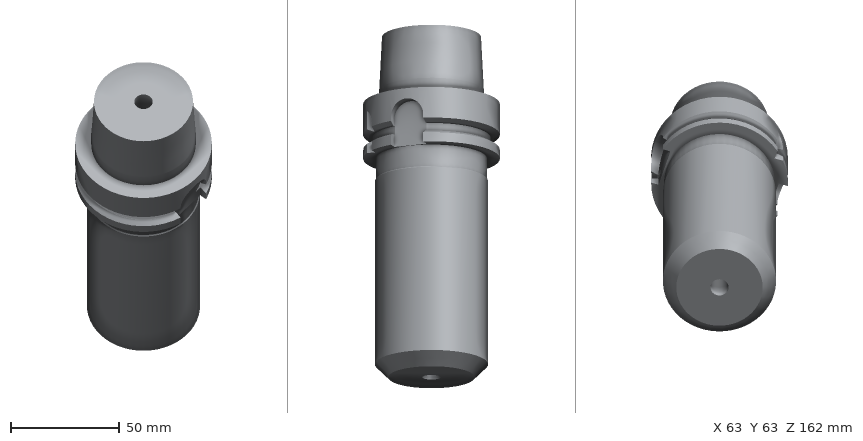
import cadquery as cq

total_height = 162
flange_diameter = 63.0

shank_top_radius = 22.8
shank_base_radius = 24.1
taper_bottom_z = 136.4

flange_radius = flange_diameter / 2
flange_top_z = 130.1
flange_bottom_z = 104.2
groove_radius = 27.2
groove_top_z = 114.0
groove_bottom_z = 110.0
groove_bevel_height = 1.5
groove_bevel_width = 2.6
groove_shelf_radius = flange_radius - groove_bevel_width

neck_radius = 25.6
body_radius = 26.1
body_top_z = 93.5
step_bevel = body_radius - neck_radius
end_chamfer = 6.2

bore_radius = 4.2

keyway_top_z = 125.2
narrow_keyway_floor = 26.1
wide_keyway_floor = 26.5
narrow_keyway_width = 16.0
wide_keyway_width = 18.1

notch_floor_x = -20.4
notch_wall_y = 20.0
notch_radius = narrow_keyway_width / 2


def turned_body():
    """Solid of revolution: half profile as (radius, height) points."""
    profile = [
        (0, 0),
        (body_radius - end_chamfer, 0),
        (body_radius, end_chamfer),
        (body_radius, body_top_z),
        (neck_radius, body_top_z + step_bevel),
        (neck_radius, flange_bottom_z),
        (flange_radius, flange_bottom_z),
        (flange_radius, groove_bottom_z - groove_bevel_height),
        (groove_shelf_radius, groove_bottom_z),
        (groove_radius, groove_bottom_z),
        (groove_radius, groove_top_z),
        (groove_shelf_radius, groove_top_z),
        (flange_radius, groove_top_z + groove_bevel_height),
        (flange_radius, flange_top_z),
        (shank_base_radius, flange_top_z),
        (shank_base_radius, taper_bottom_z),
        (shank_top_radius, total_height),
        (0, total_height),
    ]
    return cq.Workplane("XZ").polyline(profile).close().revolve(360, (0, 0), (0, 1))


def arch_cutter(center_y, half_width, top_z, start_x, end_x):
    """Round-topped prism along X, standing on the underside of the flange."""
    spring_z = top_z - half_width
    return (
        cq.Workplane("YZ", origin=(start_x, 0, 0))
        .moveTo(center_y - half_width, flange_bottom_z)
        .lineTo(center_y - half_width, spring_z)
        .threePointArc((center_y, top_z), (center_y + half_width, spring_z))
        .lineTo(center_y + half_width, flange_bottom_z)
        .close()
        .extrude(end_x - start_x)
    )


bore = cq.Workplane("XY").circle(bore_radius).extrude(total_height)
narrow_keyway = arch_cutter(0, narrow_keyway_width / 2, keyway_top_z, -flange_diameter, -narrow_keyway_floor)
wide_keyway = arch_cutter(0, wide_keyway_width / 2, keyway_top_z, wide_keyway_floor, flange_diameter)
notch = arch_cutter(
    notch_wall_y + notch_radius, notch_radius, keyway_top_z, -flange_diameter, notch_floor_x
)

result = turned_body().cut(bore).cut(narrow_keyway).cut(wide_keyway).cut(notch)